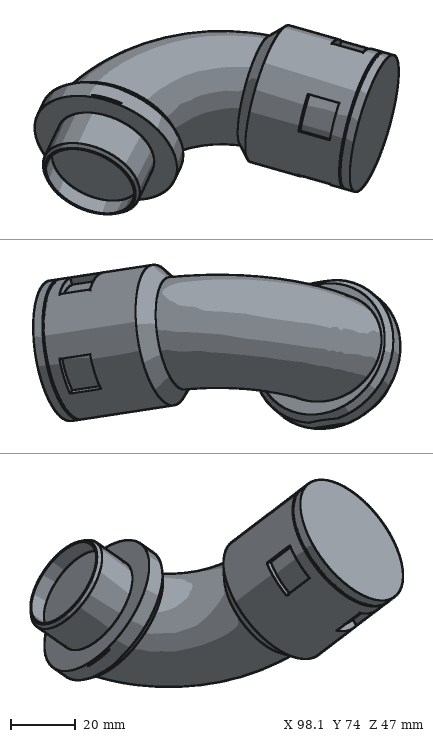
import cadquery as cq
import math

flange_diameter = 47.0
flange_thickness = 7.8
flange_chamfer_length = 2.2
flange_chamfer_depth = 2.0
flat_width = 9.6
flat_offset = 0.9

spigot_diameter = 32.0
spigot_length = 14.1
spigot_chamfer_length = 1.2
spigot_chamfer_depth = 1.0
recess_diameter = 29.0
recess_depth = 5.4

collar_diameter = 44.0
collar_neck_diameter = 34.5
overall_x = 98.1
overall_y = 74.0
collar_end_x = overall_x - flange_diameter / 2
collar_axis_y = overall_y - spigot_length - collar_diameter / 2
collar_start_x = 35.4
collar_cone_length = (collar_diameter - collar_neck_diameter) / 2
groove_width = 0.4
groove_depth = 0.5
groove_offset = 3.1

window_count = 4
window_first_angle = 45.0
window_length = 10.3
window_width = 12.0
window_offset = 7.7
window_floor_diameter = 39.4

elbow_diameter = 35.1
elbow_bend_radius = 46.4
elbow_end_x = 41.4
elbow_sweep = 76.0


def make_elbow():
    profile = cq.Workplane("YZ", origin=(elbow_end_x, collar_axis_y, 0)).circle(elbow_diameter / 2)
    return profile.revolve(elbow_sweep, (-elbow_bend_radius, 0), (-elbow_bend_radius, 1))


def make_flange():
    disc = cq.Workplane("XZ").circle(flange_diameter / 2).extrude(-flange_thickness)
    disc = disc.faces(">Y").chamfer(flange_chamfer_length, flange_chamfer_depth)
    flat_distance = math.sqrt((flange_diameter / 2) ** 2 - (flat_width / 2) ** 2)
    flat_limits = cq.Workplane("XY").box(
        flange_diameter, flange_thickness, 2 * flat_distance, centered=(True, False, True)
    )
    lip = cq.Workplane("XZ").circle(flange_diameter / 2).extrude(-flat_offset)
    return disc.intersect(flat_limits).union(lip)


def make_spigot():
    spigot = cq.Workplane("XZ").circle(spigot_diameter / 2).extrude(spigot_length)
    return spigot.faces("<Y").chamfer(spigot_chamfer_length, spigot_chamfer_depth)


def make_recess():
    recess = cq.Workplane("XZ", origin=(0, -spigot_length, 0)).circle(recess_diameter / 2)
    return recess.extrude(-recess_depth)


def collar_plane(x):
    """Plane across the collar axis at x, with its normal along +X."""
    return cq.Workplane("YZ", origin=(x, collar_axis_y, 0))


def make_collar():
    collar = collar_plane(collar_start_x).circle(collar_diameter / 2).extrude(collar_end_x - collar_start_x)
    collar = collar.faces("<X").chamfer(collar_cone_length)
    groove = (
        collar_plane(collar_end_x - groove_offset - groove_width)
        .circle(collar_diameter / 2)
        .circle(collar_diameter / 2 - groove_depth)
        .extrude(groove_width)
    )
    return collar.cut(groove)


def make_window(angle):
    """Latch pocket with parallel sides and a floor concentric with the collar."""
    start_x = collar_end_x - window_offset - window_length
    cutter = (
        collar_plane(start_x)
        .transformed(rotate=(0, 0, angle))
        .center(collar_diameter / 2, 0)
        .rect(collar_diameter, window_width)
        .extrude(window_length)
    )
    core = collar_plane(start_x).circle(window_floor_diameter / 2).extrude(window_length)
    return cutter.cut(core)


result = make_flange().union(make_spigot()).union(make_elbow()).union(make_collar())
result = result.cut(make_recess())
for index in range(window_count):
    result = result.cut(make_window(window_first_angle + index * 360 / window_count))